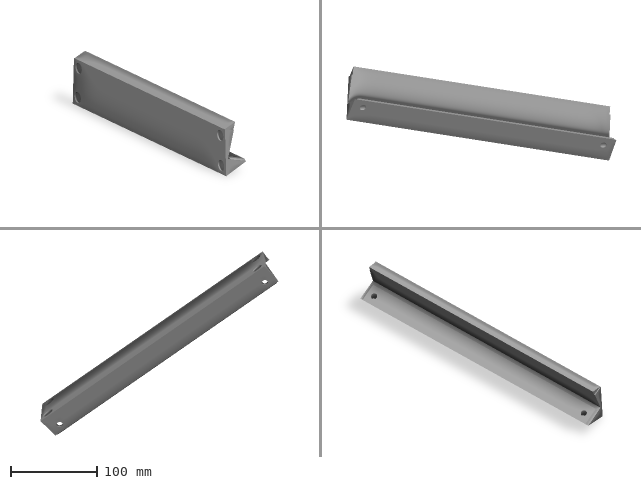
import cadquery as cq

length = 322.0
height = 62.8
depth = 29.3

front_height = 56.5
lip_depth = 14.8
corner_y = 3.0
corner_z = 19.5
ledge_depth = 28.5
ledge_tip_z = 13.2

end_taper = 2.5
lip_length = 315.0
lip_end_back_z = 53.0

pad_base_length = 317.0
pad_top_length = 313.0
pad_thickness = 1.5
pad_front_y = 7.7

screw_diameter = 7.0
screw_spacing = 295.0
screw_y = 19.0
recess_diameter = 13.0
recess_depth = 2.0
upper_recess_spacing = 297.0
upper_recess_z = 46.5
lower_recess_spacing = 300.8
lower_recess_z = 10.3


def extrude_along_x(outline, width):
    """Prism of a closed (Y, Z) outline, centred on X = 0."""
    return cq.Workplane("YZ").polyline(outline).close().extrude(width / 2, both=True)


def ledge_z(y):
    """Height of the sloping shelf surface at depth y."""
    slope = (corner_z - ledge_tip_z) / (ledge_depth - corner_y)
    return corner_z - slope * (y - corner_y)


def make_body():
    """Wall, lip and shelf in one section, with both ends tapered."""
    section = [
        (0, 0),
        (0, front_height),
        (lip_depth, height),
        (corner_y, corner_z),
        (ledge_depth, ledge_tip_z),
    ]
    top_half = length / 2 - end_taper * height / front_height
    end_limits = (
        cq.Workplane("XZ")
        .polyline([(-length / 2, 0), (length / 2, 0), (top_half, height), (-top_half, height)])
        .close()
        .extrude(-depth)
    )
    return extrude_along_x(section, length).intersect(end_limits)


def make_lip_trim():
    """Material beyond the shorter ends of the lip."""
    section = [
        (0, front_height),
        (0, height),
        (lip_depth, height),
        (lip_depth, lip_end_back_z),
    ]
    return extrude_along_x(section, length).cut(extrude_along_x(section, lip_length))


def make_pad():
    """Thin raised pad that overhangs the back of the shelf."""
    section = [
        (pad_front_y, ledge_z(pad_front_y)),
        (pad_front_y, ledge_z(pad_front_y) + pad_thickness),
        (depth, ledge_z(depth) + pad_thickness),
        (ledge_depth, ledge_tip_z),
    ]
    base_half = pad_base_length / 2
    top_half = pad_top_length / 2
    down_shelf = cq.Plane(
        origin=(0, 0, ledge_z(0)),
        xDir=(-1, 0, 0),
        normal=(0, depth, ledge_z(depth) - ledge_z(0)),
    )
    bevelled_ends = (
        cq.Workplane(down_shelf)
        .polyline(
            [
                (-base_half, 0),
                (base_half, 0),
                (top_half, pad_thickness),
                (-top_half, pad_thickness),
            ]
        )
        .close()
        .extrude(2 * depth)
    )
    return extrude_along_x(section, pad_base_length).intersect(bevelled_ends)


def make_screw_holes():
    """Vertical holes through the shelf, short of the overhanging lip."""
    points = [(-screw_spacing / 2, screw_y), (screw_spacing / 2, screw_y)]
    return cq.Workplane("XY").pushPoints(points).circle(screw_diameter / 2).extrude(height)


def make_front_recesses():
    """Four shallow round recesses in the front face."""
    points = [
        (side * spacing / 2, z)
        for side in (-1, 1)
        for spacing, z in (
            (upper_recess_spacing, upper_recess_z),
            (lower_recess_spacing, lower_recess_z),
        )
    ]
    return cq.Workplane("XZ").pushPoints(points).circle(recess_diameter / 2).extrude(-recess_depth)


result = (
    make_body()
    .cut(make_lip_trim())
    .union(make_pad())
    .cut(make_screw_holes())
    .cut(make_front_recesses())
)